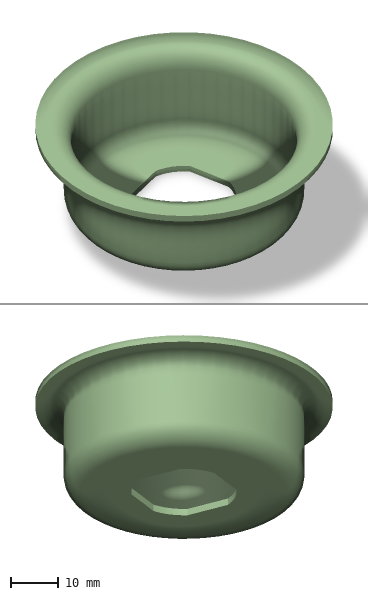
import cadquery as cq

sheet_thickness = 1.5
flange_diameter = 63.0
cup_outer_diameter = 51.0
overall_height = 21.5
tight_bend_radius = 2.5

hole_diameter = 22.3
hole_width_x = 20.3
hole_width_y = 20.0

wide_bend_radius = tight_bend_radius + sheet_thickness
flange_radius = flange_diameter / 2
outer_radius = cup_outer_diameter / 2
inner_radius = outer_radius - sheet_thickness
floor_radius = inner_radius - tight_bend_radius
lip_radius = outer_radius + tight_bend_radius
flange_underside = overall_height - sheet_thickness
lower_bend_top = wide_bend_radius
upper_bend_bottom = flange_underside - tight_bend_radius


def make_cup():
    """Flanged cup of constant sheet thickness, revolved about Z with its base at Z = 0."""
    profile = (
        cq.Workplane("XZ")
        .moveTo(0, 0)
        .lineTo(floor_radius, 0)
        .radiusArc((outer_radius, lower_bend_top), -wide_bend_radius)
        .lineTo(outer_radius, upper_bend_bottom)
        .radiusArc((lip_radius, flange_underside), tight_bend_radius)
        .lineTo(flange_radius, flange_underside)
        .lineTo(flange_radius, overall_height)
        .lineTo(lip_radius, overall_height)
        .radiusArc((inner_radius, upper_bend_bottom), -wide_bend_radius)
        .lineTo(inner_radius, lower_bend_top)
        .radiusArc((floor_radius, sheet_thickness), tight_bend_radius)
        .lineTo(0, sheet_thickness)
        .close()
    )
    return profile.revolve(360, (0, 0, 0), (0, 1, 0))


def make_hole_cutter():
    """Floor-deep plug: a cylinder flattened on four sides."""
    cylinder = cq.Workplane("XY").circle(hole_diameter / 2).extrude(sheet_thickness)
    flats = cq.Workplane("XY").rect(hole_width_x, hole_width_y).extrude(sheet_thickness)
    return cylinder.intersect(flats)


result = make_cup().cut(make_hole_cutter())